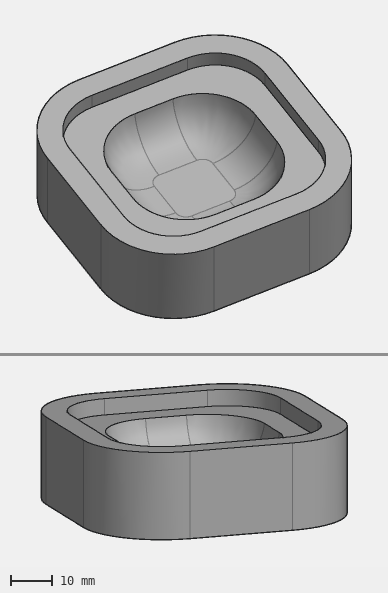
import cadquery as cq

block_side = 65.72
block_height = 21.42
block_corner_radius = 19.8

rim_width = 6.2
recess_side = block_side - 2 * rim_width
recess_corner_radius = block_corner_radius - rim_width
recess_depth = 4.0
recess_floor = block_height - recess_depth

bowl_depth = 10.5
bowl_floor = recess_floor - bowl_depth
bowl_floor_side = 16.0
bowl_floor_corner_radius = 2.8
bowl_wall_radius = 11.8


def rounded_square_prism(side, corner_radius, bottom, top):
    """Upright square prism, centred on the Z axis, with rounded vertical edges."""
    return (
        cq.Workplane("XY", origin=(0, 0, bottom))
        .rect(side, side)
        .extrude(top - bottom)
        .edges("|Z")
        .fillet(corner_radius)
    )


def bowl_cutter():
    """Prism with a filleted bottom edge.

    The fillet is taller than the bowl is deep, so the walls still slope a little
    at the recess floor. The part above that level lies in the open recess.
    """
    side = bowl_floor_side + 2 * bowl_wall_radius
    corner_radius = bowl_floor_corner_radius + bowl_wall_radius
    prism = rounded_square_prism(side, corner_radius, bowl_floor, block_height)
    return prism.faces("<Z").edges().fillet(bowl_wall_radius)


block = rounded_square_prism(block_side, block_corner_radius, 0, block_height)
recess = rounded_square_prism(recess_side, recess_corner_radius, recess_floor, block_height)

result = block.cut(recess).cut(bowl_cutter())